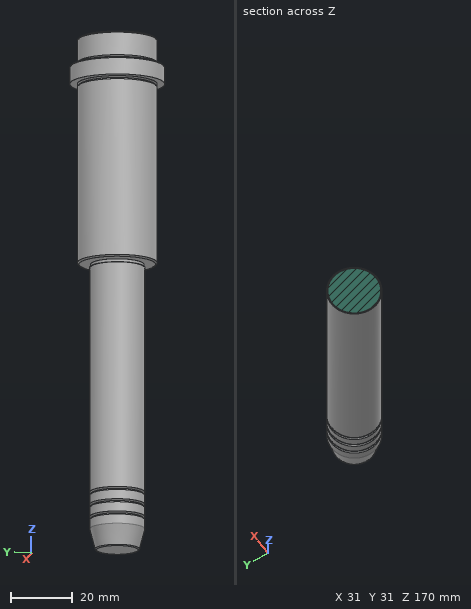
import cadquery as cq
import math

flange_diameter = 31.0
sleeve_diameter = 26.0
pin_diameter = 18.0

total_length = 170.0
pin_length = 95.0
flange_bottom_z = 155.0
flange_thickness = 6.0
tip_length = 7.0
tip_half_angle = 15.0

edge_chamfer = 0.5
tip_chamfer = 0.3

undercut_width = 1.0
undercut_depth = 0.3

groove_half_width = 0.5
groove_depth = 0.5
groove_pitch = 4.0
groove_count = 3
lowest_groove_z = 10.5

flange_radius = flange_diameter / 2
sleeve_radius = sleeve_diameter / 2
pin_radius = pin_diameter / 2
tip_radius = pin_radius - tip_length * math.tan(math.radians(tip_half_angle))
flange_top_z = flange_bottom_z + flange_thickness


def cylinder(radius, bottom_z, top_z):
    """Solid cylinder on the Z axis between two heights."""
    return cq.Workplane("XY").workplane(offset=bottom_z).circle(radius).extrude(top_z - bottom_z)


def vee_groove(surface_radius, center_z):
    """Ring with a diamond section, centred on a cylinder surface, to be cut from it."""
    return (
        cq.Workplane("XZ")
        .moveTo(surface_radius - groove_depth, center_z)
        .lineTo(surface_radius, center_z - groove_half_width)
        .lineTo(surface_radius + groove_depth, center_z)
        .lineTo(surface_radius, center_z + groove_half_width)
        .close()
        .revolve(360, (0, 0, 0), (0, 1, 0))
    )


def make_tip():
    """Tapered lead-in with a chamfered end."""
    cone = cq.Solid.makeCone(tip_radius, pin_radius, tip_length)
    return cq.Workplane(cone).faces("<Z").chamfer(tip_chamfer)


def make_pin():
    """Pin shank with its undercut and the ring grooves near the tip."""
    undercut_z = pin_length - undercut_width
    pin = cylinder(pin_radius, tip_length, undercut_z)
    for index in range(groove_count):
        pin = pin.cut(vee_groove(pin_radius, lowest_groove_z + index * groove_pitch))
    return pin.union(cylinder(pin_radius - undercut_depth, undercut_z, pin_length))


def make_sleeve():
    """Thick upper body, chamfered at both ends and grooved beside the flange."""
    sleeve = cylinder(sleeve_radius, pin_length, total_length)
    sleeve = sleeve.faces("<Z or >Z").chamfer(edge_chamfer)
    for groove_z in (flange_bottom_z - groove_half_width, flange_top_z + groove_half_width):
        sleeve = sleeve.cut(vee_groove(sleeve_radius, groove_z))
    return sleeve


def make_flange():
    """Collar around the sleeve, chamfered on its upper edge."""
    flange = cylinder(flange_radius, flange_bottom_z, flange_top_z)
    return flange.faces(">Z").chamfer(edge_chamfer)


result = make_tip().union(make_pin()).union(make_sleeve()).union(make_flange())